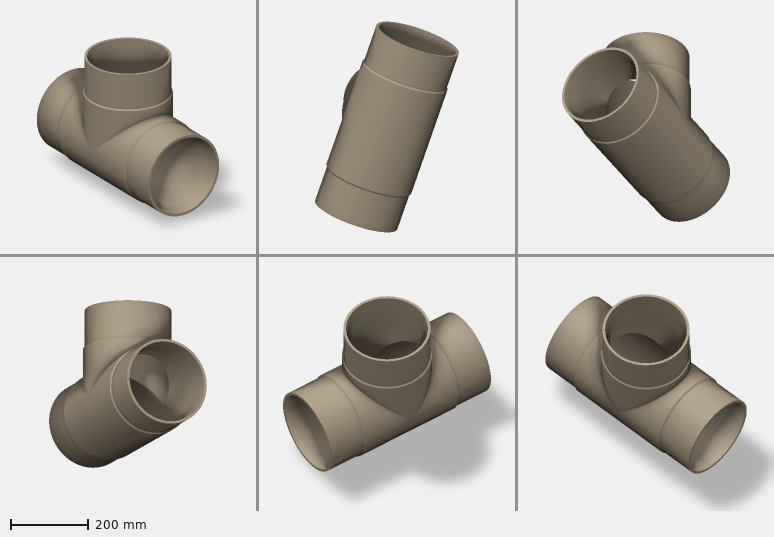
import cadquery as cq

run_length = 496.0
branch_height = 246.0
pipe_diameter = 225.0
body_diameter = 232.0
bore_diameter = 211.5
spigot_length = 98.5

step_height = (body_diameter - pipe_diameter) / 2
step_length = 4.0

body_length = run_length - 2 * spigot_length
branch_body_height = branch_height - spigot_length


def cylinder_along_run(diameter, length):
    """Cylinder on the X axis, centred on the tee."""
    return cq.Workplane("YZ", origin=(-length / 2, 0, 0)).circle(diameter / 2).extrude(length)


def cylinder_along_branch(diameter, height):
    """Cylinder rising on the Z axis from the main axis."""
    return cq.Workplane("XY").circle(diameter / 2).extrude(height)


run_body = cylinder_along_run(body_diameter, body_length)
run_body = run_body.faces("<X or >X").chamfer(step_length, step_height)
branch_body = cylinder_along_branch(body_diameter, branch_body_height)
branch_body = branch_body.faces(">Z").chamfer(step_length, step_height)

run_pipe = cylinder_along_run(pipe_diameter, run_length)
branch_pipe = cylinder_along_branch(pipe_diameter, branch_height)

run_bore = cylinder_along_run(bore_diameter, run_length)
branch_bore = cylinder_along_branch(bore_diameter, branch_height)

outside = run_body.union(branch_body).union(run_pipe).union(branch_pipe)
result = outside.cut(run_bore).cut(branch_bore)